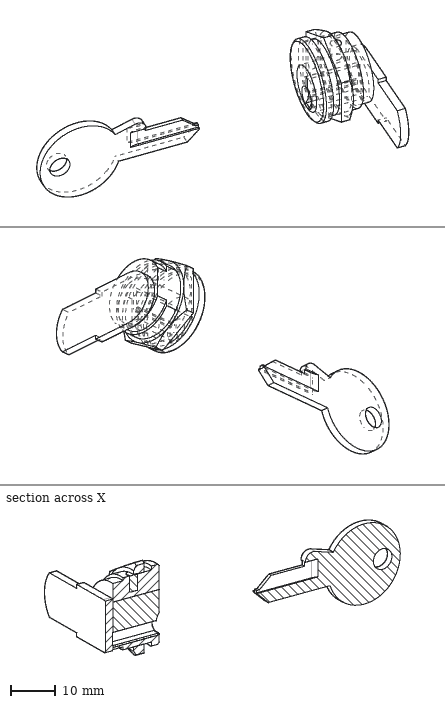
import cadquery as cq
import math


bezel_diameter = 20.0
bezel_thickness = 2.3
bezel_chamfer = 0.5
barrel_diameter = 18.0
barrel_end = 10.1
rear_diameter = 16.55
rear_end = 13.0
flat_offset = 7.4

plug_drop = 2.0
plug_diameter = 11.2

dish_drop = 4.7
dish_diameter = 5.55
dish_depth = 1.0
slot_top = 1.1
slot_bottom = -7.1

nut_across_flats = bezel_diameter
nut_front = 4.15
nut_thickness = 3.0
nut_chamfer_angle = 30

pin_diameter = 2.5
pin_length = 4.0

cam_thickness = 2.0
cam_hub_diameter = 13.0
cam_hub_reach = 10.7
cam_arm_width = 11.0
cam_arm_straight_end = 21.5
cam_tip_reach = 23.5

overall_length = 81.5
key_drop = 4.0
key_thickness = 1.95
key_web = 1.0
bow_diameter = bezel_diameter
bow_hole_diameter = 5.0
bow_hole_offset = 5.05
key_tip = 29.5
tip_low = -0.25
tip_high = 0.6
tip_ledge_end = 28.8
blade_top = 3.35
blade_top_end = 25.5
blade_bottom = -3.1
blade_bottom_end = 26.5
shoulder = 16.3
shoulder_top = 7.25
shoulder_fillet = 2.1
neck_length = 8.65
neck_height = 5.05
recess_top = 4.3
recess_floor_start = 14.35
recess_runout = 1.95

cam_front = rear_end
cam_back = cam_front + cam_thickness
key_center_y = cam_back - overall_length + bow_diameter / 2


def disc(diameter, start, end, drop=0):
    """A cylinder along Y between two depths, centred the given drop below the housing axis."""
    plane = cq.Workplane("XZ", origin=(0, start, -drop))
    return plane.circle(diameter / 2).extrude(start - end)


def block(width, y_start, y_end, z_bottom, z_top):
    """A box centred on x = 0 between the given depths and heights."""
    size = (width, y_end - y_start, z_top - z_bottom)
    box = cq.Workplane("XY").box(*size)
    return box.translate((0, (y_start + y_end) / 2, (z_bottom + z_top) / 2))


def pin_cylinder():
    barrel_radius = barrel_diameter / 2
    pin_top = math.sqrt(barrel_radius**2 - (pin_diameter / 2) ** 2)
    plane = cq.Workplane("XY", origin=(0, nut_front + nut_thickness, pin_top - pin_length))
    return plane.circle(pin_diameter / 2)


def make_pin():
    return pin_cylinder().extrude(pin_length)


def make_housing():
    bezel = disc(bezel_diameter, 0, bezel_thickness).faces("<Y").chamfer(bezel_chamfer)
    barrel = disc(barrel_diameter, bezel_thickness, barrel_end)
    body = barrel.union(disc(rear_diameter, barrel_end, rear_end))

    kept_width = flat_offset + barrel_diameter
    kept_side = block(kept_width, 0, rear_end, -barrel_diameter, barrel_diameter)
    body = body.intersect(kept_side.translate((kept_width / 2 - flat_offset, 0, 0)))

    housing = bezel.union(body)
    housing = housing.cut(disc(plug_diameter, 0, rear_end, plug_drop))
    return housing.cut(pin_cylinder().extrude(barrel_diameter / 2))


def make_plug():
    plug = disc(plug_diameter, 0, rear_end, plug_drop)

    dish_radius = ((dish_diameter / 2) ** 2 + dish_depth**2) / (2 * dish_depth)
    dish = cq.Workplane("XY").sphere(dish_radius)
    plug = plug.cut(dish.translate((0, dish_depth - dish_radius, -dish_drop)))

    narrow_slot = block(key_web, 0, rear_end, -key_drop, slot_top)
    wide_slot = block(key_thickness, 0, rear_end, slot_bottom, -key_drop)
    return plug.cut(narrow_slot).cut(wide_slot)


def make_nut():
    corner_radius = nut_across_flats / math.sqrt(3)
    nut_back = nut_front + nut_thickness
    plane = cq.Workplane("XZ", origin=(0, nut_front, 0)).transformed(rotate=(0, 0, 90))
    hexagon = plane.polygon(6, 2 * corner_radius).extrude(-nut_thickness)

    inscribed_radius = nut_across_flats / 2
    slope = math.tan(math.radians(nut_chamfer_angle))
    chamfer_depth = (corner_radius - inscribed_radius) * slope
    turned_profile = [
        (0, nut_front),
        (corner_radius, nut_front),
        (corner_radius, nut_back - chamfer_depth),
        (inscribed_radius, nut_back),
        (0, nut_back),
    ]
    turned = cq.Workplane("XY").polyline(turned_profile).close().revolve(360, (0, 0), (0, 1))
    return hexagon.intersect(turned).cut(disc(barrel_diameter, nut_front, nut_back))


def make_cam():
    hub_radius = cam_hub_diameter / 2
    half_arm = cam_arm_width / 2
    return (
        cq.Workplane("XZ", origin=(0, cam_front, -plug_drop))
        .moveTo(0, hub_radius)
        .lineTo(cam_hub_reach, hub_radius)
        .lineTo(cam_hub_reach, half_arm)
        .lineTo(cam_arm_straight_end, half_arm)
        .threePointArc((cam_tip_reach, 0), (cam_arm_straight_end, -half_arm))
        .lineTo(cam_hub_reach, -half_arm)
        .lineTo(cam_hub_reach, -hub_radius)
        .lineTo(0, -hub_radius)
        .threePointArc((-hub_radius, 0), (0, hub_radius))
        .close()
        .extrude(-cam_thickness)
    )


def key_recess():
    """Recess in the +X side of the key, open at the tip and running out toward the bow."""
    flank = key_thickness / 2
    floor = key_web / 2
    depth = flank - floor
    runout_radius = (recess_runout**2 + depth**2) / (2 * depth)
    half_angle = math.asin(recess_runout / runout_radius) / 2
    runout_middle = (
        floor + runout_radius * (1 - math.cos(half_angle)),
        recess_floor_start - runout_radius * math.sin(half_angle),
    )
    return (
        cq.Workplane("XY")
        .moveTo(flank, key_tip)
        .lineTo(floor, key_tip)
        .lineTo(floor, recess_floor_start)
        .threePointArc(runout_middle, (flank, recess_floor_start - recess_runout))
        .close()
        .extrude(recess_top)
    )


def make_key():
    side = cq.Workplane("YZ", origin=(-key_thickness / 2, 0, 0))
    bow = side.circle(bow_diameter / 2).extrude(key_thickness)
    blade_outline = [
        (0, blade_bottom),
        (blade_bottom_end, blade_bottom),
        (key_tip, tip_low),
        (key_tip, tip_high),
        (tip_ledge_end, tip_high),
        (blade_top_end, blade_top),
        (shoulder, blade_top),
        (shoulder, shoulder_top),
        (neck_length, neck_height),
        (0, neck_height),
    ]
    blade = side.polyline(blade_outline).close().extrude(key_thickness)
    shoulder_corner = cq.selectors.NearestToPointSelector((0, shoulder, shoulder_top))
    blade = blade.edges(shoulder_corner).fillet(shoulder_fillet)

    bow_hole = side.center(-bow_hole_offset, 0).circle(bow_hole_diameter / 2)
    key = bow.union(blade).cut(bow_hole.extrude(key_thickness))
    recess = key_recess()
    key = key.cut(recess).cut(recess.mirror("YZ"))
    return key.translate((0, key_center_y, -key_drop))


housing = make_housing()
plug = make_plug()
nut = make_nut()
pin = make_pin()
cam = make_cam()
key = make_key()

result = cq.Compound.makeCompound(
    [housing.val(), plug.val(), nut.val(), pin.val(), cam.val(), key.val()]
)